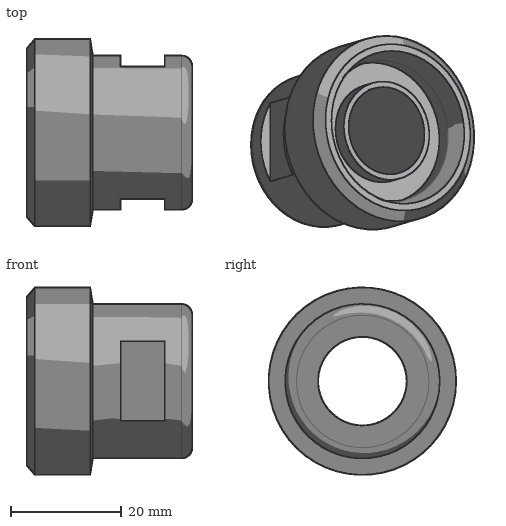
import cadquery as cq
import math

total_length = 30.0
collar_length = 12.0
collar_radius = 34.0 / 2
shank_radius = 28.0 / 2

front_chamfer_length = 1.5
front_chamfer_depth = 1.75
back_bevel_length = 0.5
shank_fillet = 2.0

mouth_radius = 28.0 / 2
socket_radius = 25.8 / 2
taper_depth = 4.0
socket_depth = 7.0
tube_outer_radius = 18.0 / 2
tube_tip_x = 4.0
bore_radius = 16.0 / 2

flat_start_x = 17.0
flat_length = 8.0
across_flats = 24.0


def make_body():
    """Revolve the collar, shank, socket, tube and bore as one half section."""
    fillet_start_x = total_length - shank_fillet
    fillet_end_radius = shank_radius - shank_fillet
    fillet_diagonal = shank_fillet * math.cos(math.radians(45))
    fillet_middle = (fillet_start_x + fillet_diagonal, fillet_end_radius + fillet_diagonal)
    section = (
        cq.Workplane("XY")
        .moveTo(0, mouth_radius)
        .lineTo(0, collar_radius - front_chamfer_depth)
        .lineTo(front_chamfer_length, collar_radius)
        .lineTo(collar_length - back_bevel_length, collar_radius)
        .lineTo(collar_length, shank_radius)
        .lineTo(fillet_start_x, shank_radius)
        .threePointArc(fillet_middle, (total_length, fillet_end_radius))
        .lineTo(total_length, bore_radius)
        .lineTo(tube_tip_x, bore_radius)
        .lineTo(tube_tip_x, tube_outer_radius)
        .lineTo(socket_depth, tube_outer_radius)
        .lineTo(socket_depth, socket_radius)
        .lineTo(taper_depth, socket_radius)
        .close()
    )
    return section.revolve(360, (0, 0, 0), (1, 0, 0))


def make_flat_cutter(side):
    """Block that mills one wrench flat on the -Y (side = -1) or +Y (side = 1) face."""
    cutter_depth = collar_radius - across_flats / 2
    cutter_x = flat_start_x + flat_length / 2
    cutter_y = side * (across_flats / 2 + cutter_depth / 2)
    cutter_height = 2 * collar_radius
    cutter = cq.Workplane("XY").box(flat_length, cutter_depth, cutter_height)
    return cutter.translate((cutter_x, cutter_y, 0))


result = make_body()
for side in (-1, 1):
    result = result.cut(make_flat_cutter(side))